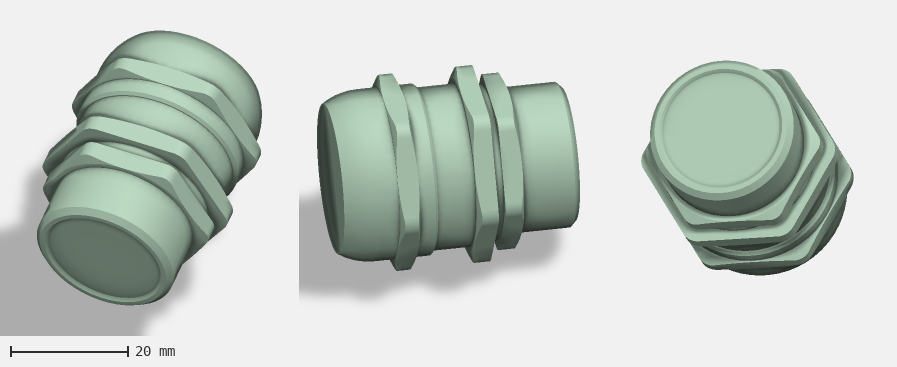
import cadquery as cq
import math

LENGTH = 41.1

THREAD_DIAMETER = 25.0
THREAD_CHAMFER = 1.0
RECESS_MOUTH_DIAMETER = 21.38
RECESS_FLOOR_DIAMETER = 20.3
RECESS_DEPTH = (RECESS_MOUTH_DIAMETER - RECESS_FLOOR_DIAMETER) / 2

HEX_THICKNESS = 3.5
CAP_HEX_THICKNESS = 3.6
LOCKNUT_FLATS = 26.9
LOCKNUT_CORNER_RADIUS = 2.67
BODY_FLATS = 30.0
BODY_CORNER_RADIUS = 3.05
HEX_CHAMFER_DROP = 0.65

LOCKNUT_START = 10.05
LOCKNUT_END = LOCKNUT_START + HEX_THICKNESS
BODY_HEX_START = 15.05
BODY_HEX_END = BODY_HEX_START + HEX_THICKNESS
CAP_START = 25.08
CAP_HEX_START = 28.3
DOME_START = 35.1

SEAL_DIAMETER = 27.17
SEAL_CREST = 14.5
SEAL_BODY_DIAMETER = 26.93
SEAL_LOCKNUT_DIAMETER = 26.1
BODY_DIAMETER = 28.0
CAP_DIAMETER = 29.5
CAP_CHAMFER = 0.5
DOME_END_DIAMETER = 25.8


def barrel(diameter, start, end):
    """Solid cylinder about the Y axis between two positions."""
    return cq.Workplane("XZ", origin=(0, start, 0)).circle(diameter / 2).extrude(start - end)


def turned(profile):
    """Revolve a profile drawn as (radius, position) about the Y axis."""
    return profile.close().revolve(360, (0, 0, 0), (0, 1, 0))


def hexagon(flats, corner_radius, start, thickness, chamfer_start, chamfer_end):
    """Rounded hexagon, flats facing +Z and -Z, its chosen ends trimmed by a cone."""
    end = start + thickness
    inner = flats / 2
    sharp = inner / math.cos(math.pi / 6)
    prism = (
        cq.Workplane("XZ", origin=(0, start, 0))
        .polygon(6, 2 * sharp)
        .extrude(-thickness)
        .edges("|Y")
        .fillet(corner_radius)
    )
    rounded = sharp - corner_radius * (1 / math.cos(math.pi / 6) - 1)
    cone_drop = HEX_CHAMFER_DROP * (sharp - inner) / (rounded - inner)
    envelope = cq.Workplane("XY").moveTo(0, start)
    if chamfer_start:
        envelope = envelope.lineTo(inner, start).lineTo(sharp, start + cone_drop)
    else:
        envelope = envelope.lineTo(sharp, start)
    if chamfer_end:
        envelope = envelope.lineTo(sharp, end - cone_drop).lineTo(inner, end)
    else:
        envelope = envelope.lineTo(sharp, end)
    return prism.intersect(turned(envelope.lineTo(0, end)))


def threaded_end():
    tube = barrel(THREAD_DIAMETER, 0, BODY_HEX_START).faces("<Y").chamfer(THREAD_CHAMFER)
    recess = turned(
        cq.Workplane("XY")
        .lineTo(RECESS_MOUTH_DIAMETER / 2, 0)
        .lineTo(RECESS_FLOOR_DIAMETER / 2, RECESS_DEPTH)
        .lineTo(0, RECESS_DEPTH)
    )
    return tube.cut(recess)


def seal_ring():
    """Disc with a bulging rim squeezed between the locknut and the body hexagon."""
    return turned(
        cq.Workplane("XY")
        .moveTo(0, LOCKNUT_END)
        .lineTo(SEAL_LOCKNUT_DIAMETER / 2, LOCKNUT_END)
        .threePointArc((SEAL_DIAMETER / 2, SEAL_CREST), (SEAL_BODY_DIAMETER / 2, BODY_HEX_START))
        .lineTo(0, BODY_HEX_START)
    )


def domed_cap():
    """Chamfered cap whose dome arc leaves the cylinder tangentially."""
    radius = CAP_DIAMETER / 2
    return turned(
        cq.Workplane("XY")
        .moveTo(0, CAP_START)
        .lineTo(radius - CAP_CHAMFER, CAP_START)
        .lineTo(radius, CAP_START + CAP_CHAMFER)
        .lineTo(radius, DOME_START)
        .tangentArcPoint((DOME_END_DIAMETER / 2, LENGTH), relative=False)
        .lineTo(0, LENGTH)
    )


locknut = hexagon(LOCKNUT_FLATS, LOCKNUT_CORNER_RADIUS, LOCKNUT_START, HEX_THICKNESS, True, False)
body_hex = hexagon(BODY_FLATS, BODY_CORNER_RADIUS, BODY_HEX_START, HEX_THICKNESS, False, True)
cap_hex = hexagon(BODY_FLATS, BODY_CORNER_RADIUS, CAP_HEX_START, CAP_HEX_THICKNESS, True, True)

result = (
    threaded_end()
    .union(locknut)
    .union(seal_ring())
    .union(body_hex)
    .union(barrel(BODY_DIAMETER, BODY_HEX_END, CAP_START))
    .union(domed_cap())
    .union(cap_hex)
)